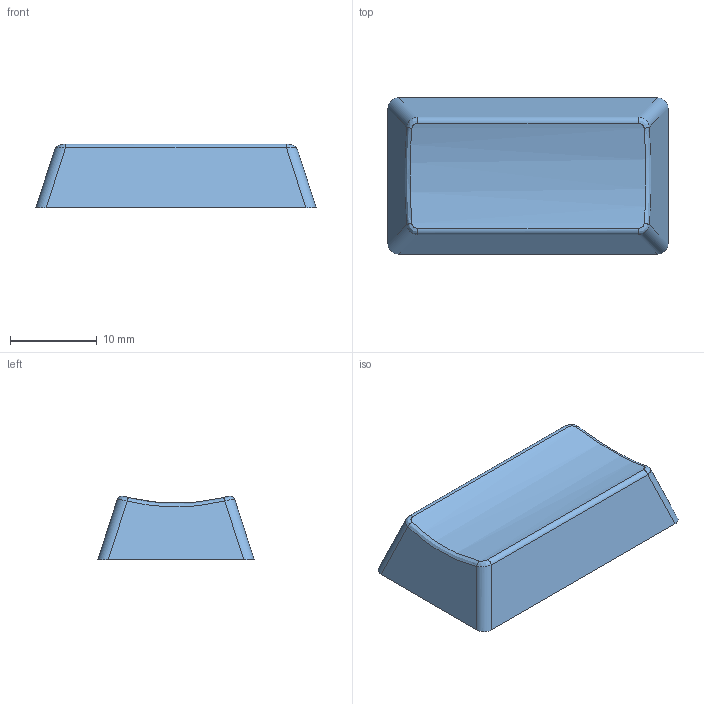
import cadquery as cq

KEY_PITCH = 19.05
KEY_UNITS = 1.75
KEY_GAP = 1.05
BASE_X = KEY_UNITS * KEY_PITCH - KEY_GAP
BASE_Y = KEY_PITCH - KEY_GAP

BLANK_HEIGHT = 9.0
WALL_DRAFT = 17.8
CORNER_RADIUS = 1.25

DISH_RADIUS = 23.0
DISH_FLOOR = 6.52
RIM_RADIUS = 0.6


def tapered_block():
    """Solid block whose four walls lean inwards, with rounded corner edges."""
    block = cq.Workplane("XY").rect(BASE_X, BASE_Y).extrude(BLANK_HEIGHT, taper=WALL_DRAFT)
    sloping_corners = block.edges("not(#Z)")
    return sloping_corners.fillet(CORNER_RADIUS)


def dish_cutter():
    """Cylinder along X, its lowest line on the dish floor."""
    return (
        cq.Workplane("YZ")
        .center(0, DISH_FLOOR + DISH_RADIUS)
        .circle(DISH_RADIUS)
        .extrude(BASE_X / 2, both=True)
    )


def rounded_rim(body):
    """Round the closed edge loop around the dish."""
    dish_face = body.faces(cq.selectors.NearestToPointSelector((0, 0, DISH_FLOOR)))
    return dish_face.edges().fillet(RIM_RADIUS)


result = rounded_rim(tapered_block().cut(dish_cutter()))